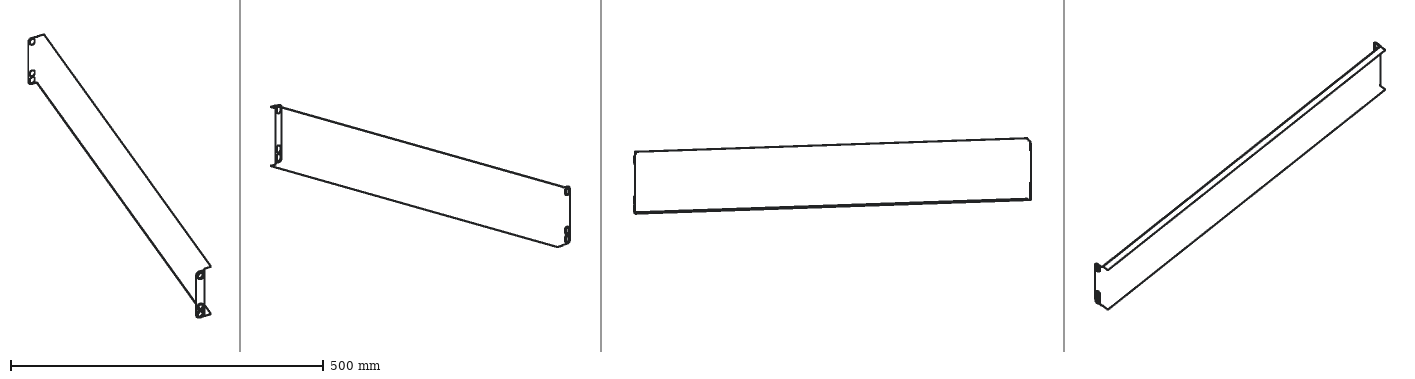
import cadquery as cq

length = 644.0
depth = 27.0
height = 100.0

sheet = 1.0
bend_radius = 2.0
shelf_depth = 12.0
shelf_end_gap = 2.0
end_flange_gap = 2.0
end_corner_radius = 6.5
shelf_corner_radius = 0.95

hole_edge_distance = 7.0
hole_width = 8.5
hole_length = 12.0
rim_height = 2.0
rim_wall = 0.5
outer_hole_z = 40.0
hole_pitch = 14.0
hole_heights = (outer_hole_z, hole_pitch - outer_hole_z, -outer_hole_z)

left = -length / 2
right = length / 2 - rim_height
back = depth / 2
front = -depth / 2
panel_front = back - shelf_depth
hole_y = front + hole_edge_distance


def box(x0, x1, y0, y1, z0, z1):
    """Box between two opposite corners."""
    return cq.Workplane("XY").box(x1 - x0, y1 - y0, z1 - z0, centered=False).translate((x0, y0, z0))


def shelf_channel():
    """Panel with the top and bottom flanges folded to the rear."""
    x0 = left + shelf_end_gap
    x1 = right - shelf_end_gap
    outer = box(x0, x1, panel_front, back, -height / 2, height / 2)
    outer = outer.edges("|X and <Y").fillet(bend_radius)
    inside = height / 2 - sheet
    inner = box(x0, x1, panel_front + sheet, back, -inside, inside)
    inner = inner.edges("|X and <Y").fillet(bend_radius - sheet)
    return outer.cut(inner).edges("|Z and >Y").fillet(shelf_corner_radius)


def end_channel():
    """Panel with the two end flanges folded to the front."""
    top = height / 2 - end_flange_gap
    panel_back = panel_front + sheet
    outer = box(left, right, front, panel_back, -top, top)
    outer = outer.edges("|Z and >Y").fillet(bend_radius)
    outer = outer.edges("|X and <Y").fillet(end_corner_radius)
    inner = box(left + sheet, right - sheet, front, panel_front, -top, top)
    inner = inner.edges("|Z and >Y").fillet(bend_radius - sheet)
    return outer.cut(inner)


def oval_prisms(x0, x1, tall, wide):
    """Upright ovals at the hole positions, running from x0 to x1."""
    centers = [(hole_y, z) for z in hole_heights]
    profile = cq.Workplane("YZ", origin=(x0, 0, 0)).pushPoints(centers)
    return profile.slot2D(tall, wide, 90).extrude(x1 - x0)


def rims():
    """Raised oval rims on the outside of the +X flange."""
    return oval_prisms(right - sheet, length / 2, hole_length + 2 * rim_wall, hole_width + 2 * rim_wall)


def holes():
    """Oblong holes through both end flanges and the rims."""
    return oval_prisms(left, length / 2, hole_length, hole_width)


result = shelf_channel().union(end_channel()).union(rims()).cut(holes())